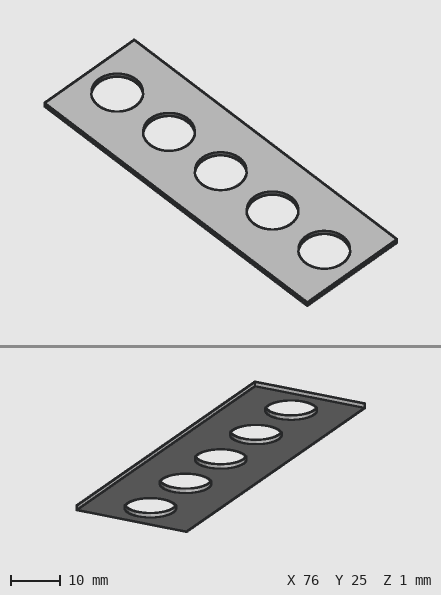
import cadquery as cq

length = 76.0
width = 25.0
thickness = 1.0

hole_count = 5
hole_diameter = 10.4
hole_pitch = 15.0

plate = cq.Workplane("XY").box(length, width, thickness)

result = (
    plate.faces(">Z")
    .workplane()
    .rarray(hole_pitch, 0.75, hole_count, 1)
    .hole(hole_diameter)
)